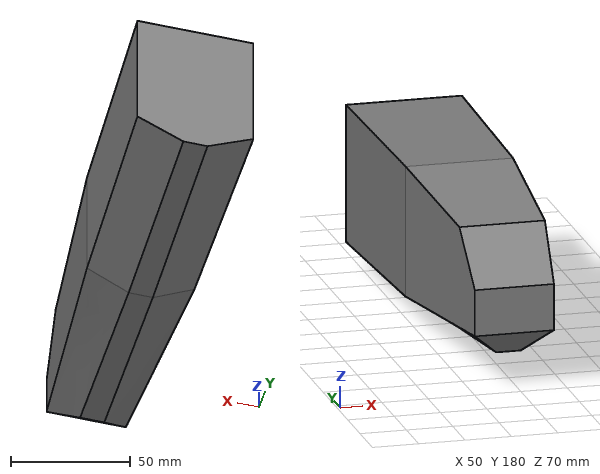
import cadquery as cq

length = 180.0
bend_y = -length / 2
keel_half_width = 5.2

rear_size = (25.0, 0.0, -60.0, -70.0)
bend_size = (23.2, 0.0, -56.9, -67.1)
tip_size = (17.1, -7.5, -47.7, -57.6)

top_bevel_length = 20.0
top_bevel_z = -27.5
keel_bevel_length = 5.5
keel_bevel_rise = 6.1
cut_margin = 18.0


def section(y, size):
    """Closed six-sided cross-section at station y."""
    half_width, top_z, corner_z, keel_z = size
    outline = [
        (-half_width, top_z),
        (half_width, top_z),
        (half_width, corner_z),
        (keel_half_width, keel_z),
        (-keel_half_width, keel_z),
        (-half_width, corner_z),
    ]
    return cq.Wire.makePolygon([cq.Vector(x, y, z) for x, z in outline], close=True)


def segment(start_y, start_size, end_y, end_size):
    """Straight-sided body between two stations."""
    wires = [section(start_y, start_size), section(end_y, end_size)]
    return cq.Workplane(cq.Solid.makeLoft(wires, True))


def bevel_cutter(tip_z, slope, outer_z):
    """Prism beyond the sloped plane that meets the tip face at tip_z."""
    outer_y = -length - cut_margin
    inner_y = -length + (outer_z - tip_z) / slope
    points = [
        (outer_y, tip_z - slope * cut_margin),
        (inner_y, outer_z),
        (outer_y, outer_z),
    ]
    half_width = rear_size[0]
    return cq.Workplane("YZ").polyline(points).close().extrude(half_width, both=True)


shank = segment(0, rear_size, bend_y, bend_size)
nose = segment(bend_y, bend_size, -length, tip_size)

nose_top_slope = (bend_size[1] - tip_size[1]) / (length + bend_y)
top_bevel_start_z = tip_size[1] + nose_top_slope * top_bevel_length
top_slope = (top_bevel_start_z - top_bevel_z) / top_bevel_length
nose = nose.cut(bevel_cutter(top_bevel_z, top_slope, rear_size[1]))

keel_slope = -keel_bevel_rise / keel_bevel_length
nose = nose.cut(bevel_cutter(tip_size[2], keel_slope, rear_size[3]))

result = shank.union(nose).solids()